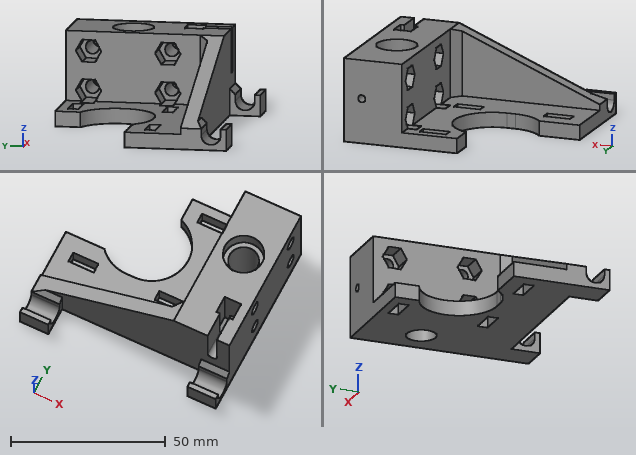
import cadquery as cq
import math

length = 70.5
body_depth = 51.95
height = 28.0
plate_thickness = 5.0

block_length = 20.1
block_left = length - block_length

front_arm_depth = 23.35
rear_arm_left = 31.45

wall_thickness = 4.9
wall_low_height = 7.0
corner_brace = 2.95

motor_x = 25.5
motor_y = 31.45
motor_travel = 2.95
boss_radius = 13.0
screw_spacing = 31.0
screw_slot_length = 9.1
screw_slot_width = 3.45

hook_width = 10.2
hook_reach = 10.0
hook_height = 7.0
hook_root_height = 8.75
groove_radius = 3.2
groove_y = -hook_reach / 2
groove_z = 5.0

bore_x = 60.0
bore_y = motor_y
bore_diameter = 10.0
counterbore_diameter = 13.4
counterbore_depth = 5.0

bolt_y = (18.5, 44.5)
bolt_z = (8.5, 21.5)
bolt_diameter = 4.45
bolt_nut_corners = 8.4
bolt_nut_depth = 7.0
bolt_nut_clearance = 3.0

adjuster_x = 64.3
adjuster_z = 15.0
adjuster_slot_width = 3.3
adjuster_hole_diameter = 2.5
adjuster_nut_flats = 5.9
adjuster_nut_front = 8.95
adjuster_nut_length = 6.05


def box(x0, x1, y0, y1, z0, z1):
    """Box between two corners."""
    return cq.Workplane("XY").box(x1 - x0, y1 - y0, z1 - z0, centered=False).translate((x0, y0, z0))


def cylinder_y(x, z, diameter, depth):
    """Cylinder running back from the front face of the body."""
    return cq.Workplane("XZ", origin=(x, 0, z)).circle(diameter / 2).extrude(-depth)


def motor_plate():
    """L-shaped plate with a travel-lengthened boss opening and three screw slots."""
    outline = [
        (0, 0),
        (length, 0),
        (length, body_depth),
        (rear_arm_left, body_depth),
        (rear_arm_left, front_arm_depth),
        (0, front_arm_depth),
    ]
    plate = cq.Workplane("XY").polyline(outline).close().extrude(plate_thickness)
    opening = (
        cq.Workplane("XY")
        .center(motor_x, motor_y)
        .slot2D(2 * boss_radius + motor_travel, 2 * boss_radius)
        .extrude(plate_thickness)
    )
    half = screw_spacing / 2
    screw_slots = (
        cq.Workplane("XY")
        .center(motor_x, motor_y)
        .pushPoints([(-half, -half), (half, -half), (half, half)])
        .rect(screw_slot_length, screw_slot_width)
        .extrude(plate_thickness)
    )
    return plate.cut(opening).cut(screw_slots)


def front_wall():
    """Full-height front wall with a triangular brace in its corner with the block."""
    outline = [
        (0, 0),
        (block_left, 0),
        (block_left, wall_thickness + corner_brace),
        (block_left - corner_brace, wall_thickness),
        (0, wall_thickness),
    ]
    return cq.Workplane("XY").polyline(outline).close().extrude(height)


def rod_hook(left):
    """Upward-open hook with a round-bottomed groove and a sloped root."""
    groove_back = groove_y + groove_radius
    groove_front = groove_y - groove_radius
    return (
        cq.Workplane("YZ", origin=(left, 0, 0))
        .moveTo(0, 0)
        .lineTo(0, hook_root_height)
        .lineTo(groove_back, hook_height)
        .lineTo(groove_back, groove_z)
        .threePointArc((groove_y, groove_z - groove_radius), (groove_front, groove_z))
        .lineTo(groove_front, hook_height)
        .lineTo(-hook_reach, hook_height)
        .lineTo(-hook_reach, 0)
        .close()
        .extrude(hook_width)
    )


def slope_cutter():
    """Wedge above the slope, spanning the wall, its brace and the left hook."""
    return (
        cq.Workplane("XZ", origin=(0, body_depth, 0))
        .polyline([(0, wall_low_height), (block_left, height), (0, height)])
        .close()
        .extrude(body_depth + hook_reach)
    )


def stepped_bore():
    """Vertical through bore with a counterbore in the top face."""
    bore = cq.Workplane("XY", origin=(bore_x, bore_y, 0)).circle(bore_diameter / 2).extrude(height)
    counterbore = (
        cq.Workplane("XY", origin=(bore_x, bore_y, height))
        .circle(counterbore_diameter / 2)
        .extrude(-counterbore_depth)
    )
    return bore.union(counterbore)


def cross_bolt(y, z):
    """Through hole along X whose nut pocket also clears the plate in front of the block."""
    hole = cq.Workplane("YZ", origin=(block_left, y, z)).circle(bolt_diameter / 2).extrude(block_length)
    pocket = (
        cq.Workplane("YZ", origin=(block_left - bolt_nut_clearance, y, z))
        .polygon(6, bolt_nut_corners)
        .extrude(bolt_nut_clearance + bolt_nut_depth)
    )
    return hole.union(pocket)


def adjuster_channel():
    """Screw slot and nut slot dropped in from the top, with a small hole through to the back."""
    slot_half = adjuster_slot_width / 2
    nut_half = adjuster_nut_flats / 2
    nut_corners = adjuster_nut_flats / math.cos(math.pi / 6)
    nut_back = adjuster_nut_front + adjuster_nut_length

    hole = cylinder_y(adjuster_x, adjuster_z, adjuster_hole_diameter, body_depth)
    slot_floor = cylinder_y(adjuster_x, adjuster_z, adjuster_slot_width, adjuster_nut_front)
    slot = box(adjuster_x - slot_half, adjuster_x + slot_half, 0, adjuster_nut_front, adjuster_z, height)
    nut_floor = (
        cq.Workplane("XZ", origin=(adjuster_x, adjuster_nut_front, adjuster_z))
        .transformed(rotate=(0, 0, 90))
        .polygon(6, nut_corners)
        .extrude(-adjuster_nut_length)
    )
    nut_slot = box(
        adjuster_x - nut_half, adjuster_x + nut_half, adjuster_nut_front, nut_back, adjuster_z, height
    )
    return hole.union(slot_floor).union(slot).union(nut_floor).union(nut_slot)


result = motor_plate().union(box(block_left, length, 0, body_depth, 0, height)).union(front_wall())
for hook_left in (0, length - hook_width):
    result = result.union(rod_hook(hook_left))
result = result.cut(slope_cutter())

result = result.cut(stepped_bore()).cut(adjuster_channel())
for y in bolt_y:
    for z in bolt_z:
        result = result.cut(cross_bolt(y, z))